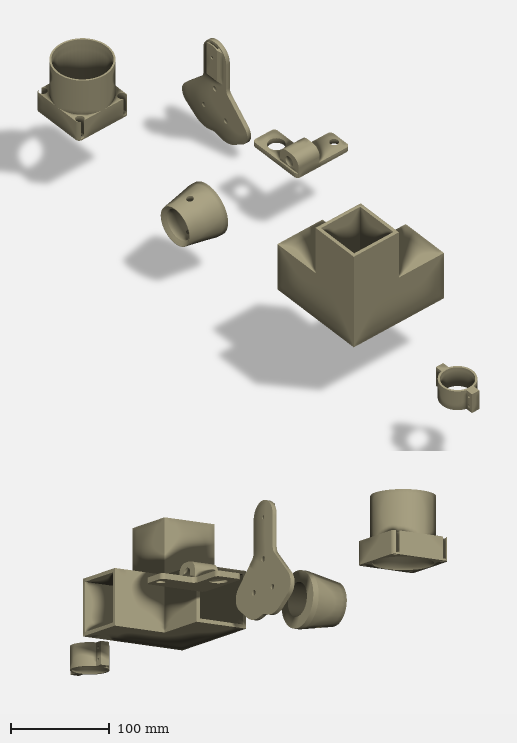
import cadquery as cq

DUCT_OUTER_DIA = 67.0
DUCT_BORE_DIA = 63.0
FLANGE_SIDE = DUCT_OUTER_DIA
FLANGE_HEIGHT = 25.0
FLANGE_CORNER_RADIUS = 4.5
FLANGE_SCREW_DIA = 4.0
FLANGE_SCREW_INSET_X = 4.5
FLANGE_SCREW_INSET_Y = 5.55
SCREW_HEAD_DIA = 10.0
SCREW_HEAD_SEAT_Z = 2.0
ADAPTER_HEIGHT = 70.0

PLATE_X = 58.0
PLATE_BACK_Y = 131.5
PLATE_THICKNESS = 4.9
TAB_RADIUS = 17.9
TAB_TOP_Z = 60.5
TAB_CENTER_Z = TAB_TOP_Z - TAB_RADIUS
SHOULDER_Z = 5.0
SHOULDER_RADIUS = 10.0
WING_TIP = (60.0, -35.0)
WING_TIP_RADIUS = 15.0
LOBE_CORNER = (19.5, -63.0)
LOBE_RADIUS = 27.5
DIP_Z = -57.5
DIP_RADIUS = 13.0
PLATE_HOLE_DIA = 6.0
UPPER_HOLE_Z = -0.5
LOWER_HOLE_Z = -32.5
LOWER_HOLE_PITCH = 34.5
TAB_HOLE_DIA = 4.0

LOOP_BASE_WIDTH = 24.0
LOOP_DEPTH = 4.0
LOOP_BOTTOM_Z = 12.5
LOOP_TOP_RADIUS = 16.0
STRAP_WIDTH = 14.0
STRAP_THICKNESS = 2.5

BRACKET_X = 151.0
BRACKET_Y = 98.0
BRACKET_SPAN = 70.5
FOOT_WIDTH = 30.0
FOOT_THICKNESS = 6.0
FOOT_CORNER_RADIUS = 4.5
FOOT_INNER_RADIUS = 4.5
LARGE_HOLE_DIA = 19.0
LARGE_HOLE_INSET = 20.0
SMALL_HOLE_DIA = 10.0
SMALL_HOLE_INSET = 8.5
SLEEVE_LENGTH = 28.0
SLEEVE_SETBACK = 2.0
SLEEVE_WIDTH = 29.5
SLEEVE_TOP_Z = 25.0
SLEEVE_TOP_RADIUS = 10.75
SLEEVE_BORE_DIA = 12.0
SLEEVE_BORE_Z = 13.0

CUP_X = 199.0
CUP_LENGTH = 45.0
CUP_WIDE_DIA = 60.0
CUP_NARROW_DIA = 45.5
CUP_RIM_LENGTH = 6.5
CUP_BORE_DIA = 36.0
CUP_LEAD_IN = 4.0
CUP_LEAD_IN_DIA = 44.0
CUP_PIN_DIA = 8.0
CUP_PIN_Y = -25.5

CORNER_X = 341.5
TUBE_SIDE = 60.0
TUBE_WALL = 4.0
CORNER_SPAN = 2 * TUBE_SIDE

CLAMP_X = 590.0
CLAMP_Y = -0.5
CLAMP_HEIGHT = 25.0
CLAMP_BORE_DIA = 36.0
CLAMP_OUTER_DIA = 40.5
EAR_SPAN = 57.0
EAR_THICKNESS = 4.9
CLAMP_SCREW_DIA = 3.5
CLAMP_SCREW_X = 23.5
CLAMP_SCREW_HEIGHTS = (CLAMP_HEIGHT / 4, 3 * CLAMP_HEIGHT / 4)


def box(x_min, x_max, y_min, y_max, z_min, z_max):
    """Box between the given limits."""
    size = (x_max - x_min, y_max - y_min, z_max - z_min)
    return cq.Workplane("XY").box(*size, centered=False).translate((x_min, y_min, z_min))


def upright_disc(dia, x, z, y_front, length):
    """Cylinder along Y, from y_front towards +Y."""
    return (
        cq.Workplane("XZ", origin=(x, y_front, z))
        .circle(dia / 2)
        .extrude(-length)
    )


def make_fan_adapter():
    """Flange and duct with one bore, and a deep screw-head pocket in each flange corner."""
    flange = box(
        -FLANGE_SIDE / 2, FLANGE_SIDE / 2, -FLANGE_SIDE / 2, FLANGE_SIDE / 2, 0, FLANGE_HEIGHT
    ).edges("|Z").fillet(FLANGE_CORNER_RADIUS)
    duct = cq.Workplane("XY").circle(DUCT_OUTER_DIA / 2).extrude(ADAPTER_HEIGHT)
    bore = cq.Workplane("XY").circle(DUCT_BORE_DIA / 2).extrude(ADAPTER_HEIGHT)
    screw_pitch_x = FLANGE_SIDE - 2 * FLANGE_SCREW_INSET_X
    screw_pitch_y = FLANGE_SIDE - 2 * FLANGE_SCREW_INSET_Y
    screw_axes = (
        cq.Workplane("XY").rect(screw_pitch_x, screw_pitch_y, forConstruction=True).vertices()
    )
    screw_holes = screw_axes.circle(FLANGE_SCREW_DIA / 2).extrude(FLANGE_HEIGHT)
    head_pockets = (
        screw_axes.circle(SCREW_HEAD_DIA / 2)
        .extrude(FLANGE_HEIGHT)
        .translate((0, 0, SCREW_HEAD_SEAT_Z))
    )
    flange = flange.cut(screw_holes).cut(head_pockets)
    return flange.union(duct).cut(bore)


def corner_edge(x, z):
    """Selector for the Y edge of the plate nearest to the corner at (x, z)."""
    return cq.selectors.NearestToPointSelector((x, PLATE_BACK_Y - PLATE_THICKNESS / 2, z))


def make_plate_blank():
    """Flat plate: rounded tab above two mirrored wings, every corner rounded."""
    tip_x, tip_z = WING_TIP
    lobe_x, lobe_z = LOBE_CORNER
    blank = (
        cq.Workplane("XZ", origin=(0, PLATE_BACK_Y, 0))
        .moveTo(-TAB_RADIUS, TAB_CENTER_Z)
        .threePointArc((0, TAB_TOP_Z), (TAB_RADIUS, TAB_CENTER_Z))
        .lineTo(TAB_RADIUS, SHOULDER_Z)
        .lineTo(tip_x, tip_z)
        .lineTo(lobe_x, lobe_z)
        .lineTo(0, DIP_Z)
        .lineTo(-lobe_x, lobe_z)
        .lineTo(-tip_x, tip_z)
        .lineTo(-TAB_RADIUS, SHOULDER_Z)
        .close()
        .extrude(PLATE_THICKNESS)
    )
    roundings = [(0, DIP_Z, DIP_RADIUS)]
    for side in (-1, 1):
        roundings.append((side * TAB_RADIUS, SHOULDER_Z, SHOULDER_RADIUS))
        roundings.append((side * tip_x, tip_z, WING_TIP_RADIUS))
        roundings.append((side * lobe_x, lobe_z, LOBE_RADIUS))
    for x, z, radius in roundings:
        blank = blank.edges("|Y").edges(corner_edge(x, z)).fillet(radius)
    return blank


def make_strap_loop():
    """Raised loop with 45 degree flanks and bottom, rounded like the tab at its top."""
    front_y = PLATE_BACK_Y - PLATE_THICKNESS
    half_base = LOOP_BASE_WIDTH / 2
    half_face = half_base - LOOP_DEPTH
    flanks = (
        cq.Workplane("XY", origin=(0, 0, LOOP_BOTTOM_Z))
        .polyline([
            (-half_base, front_y),
            (half_base, front_y),
            (half_face, front_y - LOOP_DEPTH),
            (-half_face, front_y - LOOP_DEPTH),
        ])
        .close()
        .extrude(TAB_TOP_Z - LOOP_BOTTOM_Z)
    )
    bottom_slope = (
        cq.Workplane("YZ", origin=(-half_base, 0, 0))
        .polyline([
            (front_y, LOOP_BOTTOM_Z),
            (front_y - LOOP_DEPTH, LOOP_BOTTOM_Z),
            (front_y - LOOP_DEPTH, LOOP_BOTTOM_Z + LOOP_DEPTH),
        ])
        .close()
        .extrude(LOOP_BASE_WIDTH)
    )
    round_top = upright_disc(
        2 * LOOP_TOP_RADIUS, 0, TAB_CENTER_Z, front_y - LOOP_DEPTH, LOOP_DEPTH
    ).union(box(-half_base, half_base, front_y - LOOP_DEPTH, front_y, LOOP_BOTTOM_Z, TAB_CENTER_Z))
    strap_slot = box(
        -STRAP_WIDTH / 2, STRAP_WIDTH / 2, front_y - STRAP_THICKNESS, front_y, LOOP_BOTTOM_Z, TAB_TOP_Z
    )
    return flanks.cut(bottom_slope).intersect(round_top).cut(strap_slot)


def make_wing_plate():
    """Plate and strap loop in one piece, with its four through holes."""
    plate = make_plate_blank().union(make_strap_loop())
    holes = [
        (0, TAB_CENTER_Z, TAB_HOLE_DIA),
        (0, UPPER_HOLE_Z, PLATE_HOLE_DIA),
        (-LOWER_HOLE_PITCH / 2, LOWER_HOLE_Z, PLATE_HOLE_DIA),
        (LOWER_HOLE_PITCH / 2, LOWER_HOLE_Z, PLATE_HOLE_DIA),
    ]
    full_depth = PLATE_THICKNESS + LOOP_DEPTH
    for x, z, dia in holes:
        plate = plate.cut(upright_disc(dia, x, z, PLATE_BACK_Y - full_depth, full_depth))
    return plate.translate((PLATE_X, 0, 0))


def make_rod_bracket():
    """Bracket with its lower left corner at the origin, moved into place at the end."""
    arm_x = BRACKET_SPAN - FOOT_WIDTH
    foot = box(0, BRACKET_SPAN, 0, FOOT_WIDTH, 0, FOOT_THICKNESS).union(
        box(arm_x, BRACKET_SPAN, 0, BRACKET_SPAN, 0, FOOT_THICKNESS)
    )
    inner_corner = cq.selectors.NearestToPointSelector((arm_x, FOOT_WIDTH, FOOT_THICKNESS / 2))
    foot = foot.edges("|Z").edges(inner_corner).fillet(FOOT_INNER_RADIUS)
    foot = foot.edges("|Z and (<X or >X or >Y)").fillet(FOOT_CORNER_RADIUS)

    sleeve_x = BRACKET_SPAN - SLEEVE_WIDTH / 2
    sleeve = box(
        BRACKET_SPAN - SLEEVE_WIDTH, BRACKET_SPAN,
        SLEEVE_SETBACK, SLEEVE_SETBACK + SLEEVE_LENGTH, 0, SLEEVE_TOP_Z,
    ).edges("|Y and >Z").fillet(SLEEVE_TOP_RADIUS)
    sleeve_bore = upright_disc(SLEEVE_BORE_DIA, sleeve_x, SLEEVE_BORE_Z, 0, FOOT_WIDTH)

    large_hole = (
        cq.Workplane("XY", origin=(LARGE_HOLE_INSET, FOOT_WIDTH / 2, 0))
        .circle(LARGE_HOLE_DIA / 2)
        .extrude(FOOT_THICKNESS)
    )
    small_hole = (
        cq.Workplane("XY", origin=(BRACKET_SPAN - FOOT_WIDTH / 2, BRACKET_SPAN - SMALL_HOLE_INSET, 0))
        .circle(SMALL_HOLE_DIA / 2)
        .extrude(FOOT_THICKNESS)
    )
    bracket = foot.union(sleeve).cut(sleeve_bore).cut(large_hole).cut(small_hole)
    return bracket.translate((BRACKET_X, BRACKET_Y, 0))


def make_tapered_cup():
    """Turned about the Y axis, then cross-drilled."""
    bore_radius = CUP_BORE_DIA / 2
    cup = (
        cq.Workplane("XY")
        .polyline([
            (bore_radius, 0),
            (CUP_WIDE_DIA / 2, 0),
            (CUP_WIDE_DIA / 2, -CUP_RIM_LENGTH),
            (CUP_NARROW_DIA / 2, -CUP_LENGTH),
            (CUP_LEAD_IN_DIA / 2, -CUP_LENGTH),
            (bore_radius, CUP_LEAD_IN - CUP_LENGTH),
        ])
        .close()
        .revolve(360, (0, 0, 0), (0, 1, 0))
    )
    pin_hole = (
        cq.Workplane("XY", origin=(0, CUP_PIN_Y, -CUP_WIDE_DIA / 2))
        .circle(CUP_PIN_DIA / 2)
        .extrude(CUP_WIDE_DIA)
    )
    return cup.cut(pin_hole).translate((CUP_X, 0, 0))


def three_arms(side, start, end):
    """Three square bars from one shared corner, running to -X, +Y and +Z.

    The corner cube is side wide; start is the offset of its outer faces and
    end is how far each bar reaches from the outside of the tube corner.
    """
    near = start
    far = start + side
    along_x = box(-end, -near, near, far, near, far)
    along_y = box(-far, -near, near, end, near, far)
    along_z = box(-far, -near, near, far, near, end)
    return along_x.union(along_y).union(along_z)


def make_tube_corner():
    """Three hollow square arms that meet in one open corner."""
    outside = three_arms(TUBE_SIDE, 0, CORNER_SPAN)
    inside = three_arms(TUBE_SIDE - 2 * TUBE_WALL, TUBE_WALL, CORNER_SPAN)
    return outside.cut(inside).translate((CORNER_X + CORNER_SPAN, -TUBE_SIDE / 2, 0))


def make_clamp_half(side):
    """Half of the clamp, on the +Y side for side = 1 and the -Y side for side = -1."""
    ring = cq.Workplane("XY").circle(CLAMP_OUTER_DIA / 2).extrude(CLAMP_HEIGHT)
    ears = box(-EAR_SPAN / 2, EAR_SPAN / 2, 0, EAR_THICKNESS, 0, CLAMP_HEIGHT)
    bore = cq.Workplane("XY").circle(CLAMP_BORE_DIA / 2).extrude(CLAMP_HEIGHT)
    half_space = box(-EAR_SPAN / 2, EAR_SPAN / 2, 0, CLAMP_OUTER_DIA / 2, 0, CLAMP_HEIGHT)
    half = ring.intersect(half_space).union(ears).cut(bore)
    for x in (-CLAMP_SCREW_X, CLAMP_SCREW_X):
        for z in CLAMP_SCREW_HEIGHTS:
            half = half.cut(upright_disc(CLAMP_SCREW_DIA, x, z, 0, EAR_THICKNESS))
    if side < 0:
        half = half.mirror("XZ")
    return half.translate((CLAMP_X, CLAMP_Y, 0))


fan_adapter = make_fan_adapter()
wing_plate = make_wing_plate()
rod_bracket = make_rod_bracket()
tapered_cup = make_tapered_cup()
tube_corner = make_tube_corner()
clamp_halves = [make_clamp_half(side) for side in (1, -1)]

result = cq.Compound.makeCompound([
    fan_adapter.val(),
    wing_plate.val(),
    rod_bracket.val(),
    tapered_cup.val(),
    tube_corner.val(),
    *[half.val() for half in clamp_halves],
])